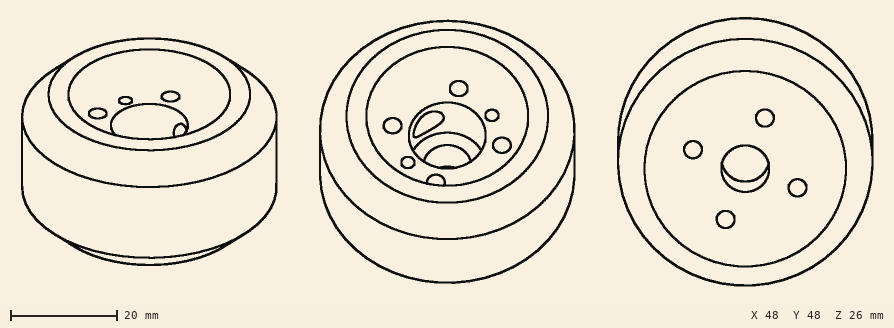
import cadquery as cq
import math

outer_diameter = 48.0
height = 26.0
rim_chamfer = 5.0

recess_diameter = 30.55
recess_depth = 7.0
recess_fillet = 0.5

bore_diameter = 9.0
counterbore_diameter = 14.5

bolt_hole_diameter = 3.35
bolt_spacing = 14.9

pin_hole_diameter = 2.5
pin_spacing = 18.9
pin_offset_y = -0.9
pin_hole_depth = 6.0
drill_point_angle = 118.0

radial_hole_diameter = 6.8
radial_hole_z = 13.5

outer_radius = outer_diameter / 2
recess_floor_z = height - recess_depth
counterbore_depth = 2 * (recess_floor_z - radial_hole_z)
counterbore_floor_z = recess_floor_z - counterbore_depth


def cylinder(diameter, bottom_z, length):
    """Upright cylinder on the wheel axis."""
    base = cq.Workplane("XY", origin=(0, 0, bottom_z))
    return base.circle(diameter / 2).extrude(length)


def wheel_body():
    """Outer cylinder with both rims chamfered."""
    body = cylinder(outer_diameter, 0, height)
    return body.faces("<Z or >Z").edges().chamfer(rim_chamfer)


def recess():
    """Cutter for the recess in the top face."""
    cutter = cylinder(recess_diameter, recess_floor_z, recess_depth)
    return cutter.faces("<Z").edges().fillet(recess_fillet)


def stepped_bore():
    """Cutter for the centre bore and its counterbore."""
    bore = cylinder(bore_diameter, 0, height)
    counterbore = cylinder(counterbore_diameter, counterbore_floor_z, counterbore_depth)
    return bore.union(counterbore)


def bolt_holes():
    """Cutters for the four through holes."""
    pattern = cq.Workplane("XY").rect(bolt_spacing, bolt_spacing, forConstruction=True)
    return pattern.vertices().circle(bolt_hole_diameter / 2).extrude(height)


def pin_hole(x):
    """Cutter for one blind hole with a conical drill point."""
    radius = pin_hole_diameter / 2
    point_depth = radius / math.tan(math.radians(drill_point_angle / 2))
    half_profile = [
        (0, 0),
        (radius, 0),
        (radius, -pin_hole_depth),
        (0, -pin_hole_depth - point_depth),
    ]
    drill = cq.Workplane("XZ").polyline(half_profile).close().revolve(360, (0, 0, 0), (0, 1, 0))
    return drill.translate((x, pin_offset_y, recess_floor_z))


def radial_hole():
    """Cutter from the wheel axis out through the +Y side."""
    section = cq.Workplane("XZ", origin=(0, 0, radial_hole_z)).circle(radial_hole_diameter / 2)
    return section.extrude(-outer_radius)


result = wheel_body().cut(recess()).cut(stepped_bore()).cut(bolt_holes()).cut(radial_hole())
for side in (-1, 1):
    result = result.cut(pin_hole(side * pin_spacing / 2))